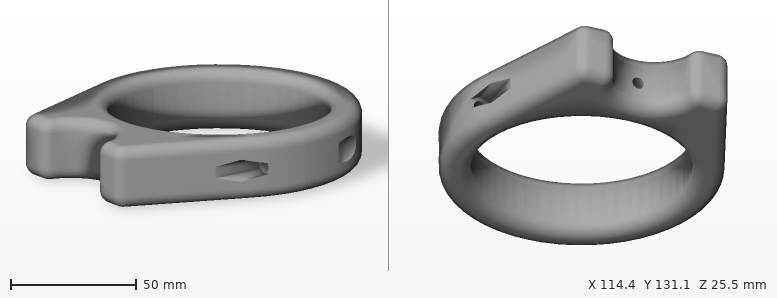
import cadquery as cq
import math

total_length = 131.1
thickness = 25.5
outer_radius = 57.2
bore_radius = 44.5
edge_round = 5.0

foot_half_width = 31.7
saddle_radius = 16.9
foot_y = outer_radius - total_length
center_hole_diameter = 5.0

screw_x = (outer_radius + bore_radius) / 2
screw_hole_diameter = 5.0
head_diameter = 10.0
head_seat_y = 19.7
nut_across_flats = 8.0
nut_seat_y = -15.1
nut_corner_diameter = nut_across_flats / math.cos(math.radians(30))


def tangent_point():
    """Point where the line from the right foot corner touches the outer circle."""
    corner_distance = math.hypot(foot_half_width, foot_y)
    corner_angle = math.atan2(foot_y, foot_half_width)
    angle = corner_angle + math.acos(outer_radius / corner_distance)
    return outer_radius * math.cos(angle), outer_radius * math.sin(angle)


def rounded_clamp():
    """Whole clamp before splitting, with its rims and foot corners rounded."""
    tangent_x, tangent_y = tangent_point()
    blank = (
        cq.Workplane("XY")
        .moveTo(tangent_x, tangent_y)
        .threePointArc((0, outer_radius), (-tangent_x, tangent_y))
        .lineTo(-foot_half_width, foot_y)
        .lineTo(-saddle_radius, foot_y)
        .threePointArc((0, foot_y + saddle_radius), (saddle_radius, foot_y))
        .lineTo(foot_half_width, foot_y)
        .close()
        .moveTo(0, 0)
        .circle(bore_radius)
        .extrude(thickness / 2, both=True)
    )
    rims = blank.faces("<Z or >Z").edges()
    foot_corners = blank.faces("<Y").edges("|Z")
    return rims.add(foot_corners).fillet(edge_round)


def along_y(start_y, end_y, x=0.0):
    """Sketch plane at start_y facing end_y, with the distance between them."""
    direction = 1 if end_y > start_y else -1
    plane = cq.Plane(origin=(x, start_y, 0), xDir=(1, 0, 0), normal=(0, direction, 0))
    return cq.Workplane(plane), abs(end_y - start_y)


def cylinder_along_y(diameter, start_y, end_y, x=0.0):
    sketch, length = along_y(start_y, end_y, x)
    return sketch.circle(diameter / 2).extrude(length)


def nut_pocket(x):
    """Hexagonal pocket, corners pointing up and down, open toward -Y."""
    sketch, length = along_y(nut_seat_y, foot_y, x)
    hexagon = sketch.transformed(rotate=(0, 0, 90)).polygon(6, nut_corner_diameter)
    return hexagon.extrude(length)


clamp = rounded_clamp()
for side in (-1, 1):
    x = side * screw_x
    clamp = clamp.cut(cylinder_along_y(screw_hole_diameter, foot_y, outer_radius, x))
    clamp = clamp.cut(cylinder_along_y(head_diameter, head_seat_y, outer_radius, x))
    clamp = clamp.cut(nut_pocket(x))

clamp = clamp.cut(cylinder_along_y(center_hole_diameter, foot_y, 0))


def clamp_half(side):
    """Part of the clamp on the +Y (side = 1) or -Y (side = -1) of the split plane."""
    sketch, length = along_y(0, side * total_length)
    return clamp.intersect(sketch.rect(2 * total_length, 2 * thickness).extrude(length))


cap = clamp_half(1)
base = clamp_half(-1)

result = cq.Compound.makeCompound([cap.val(), base.val()])